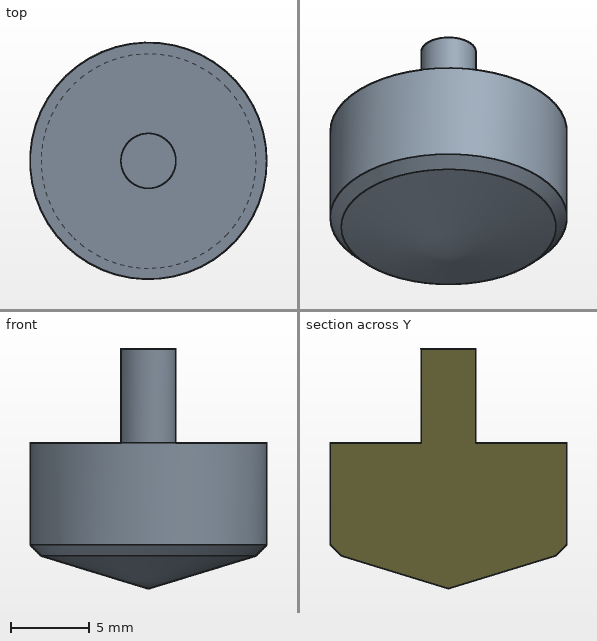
import cadquery as cq

total_height = 15.3
body_diameter = 15.1
stem_diameter = 3.5
stem_length = 6.0
body_wall_height = 6.5
chamfer_size = 0.7

body_radius = body_diameter / 2
stem_radius = stem_diameter / 2
cone_radius = body_radius - chamfer_size
shoulder_z = total_height - stem_length
wall_bottom_z = shoulder_z - body_wall_height
cone_top_z = wall_bottom_z - chamfer_size

half_profile = (
    cq.Workplane("XZ")
    .moveTo(0, 0)
    .lineTo(cone_radius, cone_top_z)
    .lineTo(body_radius, wall_bottom_z)
    .lineTo(body_radius, shoulder_z)
    .lineTo(stem_radius, shoulder_z)
    .lineTo(stem_radius, total_height)
    .lineTo(0, total_height)
    .close()
)

result = half_profile.revolve(360, (0, 0, 0), (0, 1, 0))